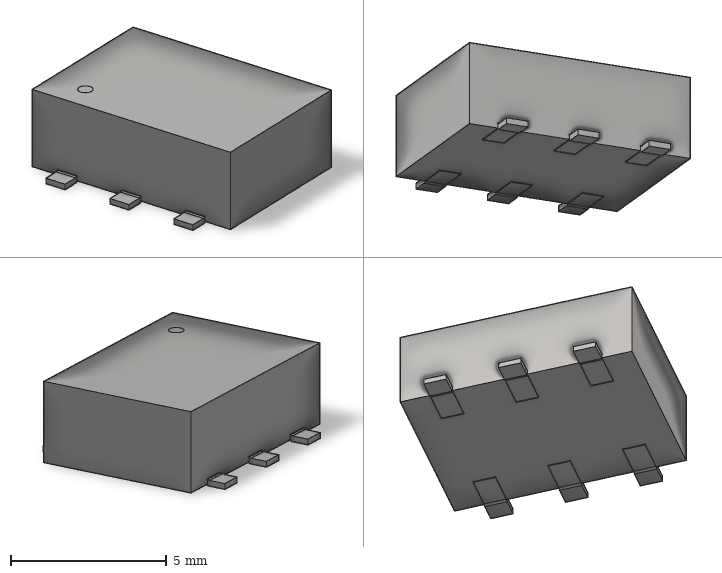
import cadquery as cq
import math

body_length = 7.87
body_width = 5.59
overall_height = 2.84
standoff = 0.06

lead_span = 6.9
lead_pitch = 2.54
leads_per_row = 3
lead_width = 0.76
lead_thickness = 0.2
lead_inner_end = 1.63
bend_start = 2.87
bend_angle = math.radians(20)
bend_rise = 0.035
bend_run = bend_rise / math.tan(bend_angle)
bend_mitre = lead_thickness * math.tan(bend_angle / 2)

marker_diameter = 0.5
marker_depth = 0.05
marker_x = -lead_pitch
marker_y = -1.79


def make_lead(x_center, side):
    """One lead: a flat foot, a shallow upward bend and a tail let into the housing underside."""
    foot_end = lead_span / 2
    top = lead_thickness
    outline = [
        (foot_end, 0),
        (bend_start - bend_mitre, 0),
        (bend_start - bend_mitre - bend_run, bend_rise),
        (lead_inner_end, bend_rise),
        (lead_inner_end, top + bend_rise),
        (bend_start - bend_run, top + bend_rise),
        (bend_start, top),
        (foot_end, top),
    ]
    return (
        cq.Workplane("YZ", origin=(x_center, 0, 0))
        .polyline([(side * y, z) for y, z in outline])
        .close()
        .extrude(lead_width / 2, both=True)
    )


def make_marker():
    """Thin disc set into the housing top."""
    return (
        cq.Workplane("XY", origin=(marker_x, marker_y, overall_height - marker_depth))
        .circle(marker_diameter / 2)
        .extrude(marker_depth)
    )


def make_housing(inserts):
    """Rectangular block with a matching recess for every insert."""
    housing = cq.Workplane("XY", origin=(0, 0, standoff)).box(
        body_length, body_width, overall_height - standoff, centered=(True, True, False)
    )
    for insert in inserts:
        housing = housing.cut(insert)
    return housing


leads = []
for side in (-1, 1):
    for index in range(leads_per_row):
        x_center = (index - (leads_per_row - 1) / 2) * lead_pitch
        leads.append(make_lead(x_center, side))

marker = make_marker()
housing = make_housing(leads + [marker])

result = cq.Compound.makeCompound([housing.val(), marker.val(), *[lead.val() for lead in leads]])